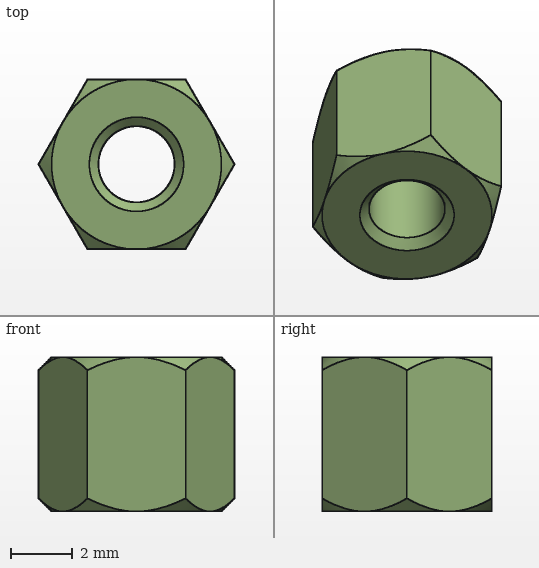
import cadquery as cq
import math

across_corners = 6.35
height = 5.0
bore_diameter = 2.46
countersink_diameter = 3.055
corner_chamfer_angle = 45.0

corner_radius = across_corners / 2
flat_radius = corner_radius * math.cos(math.radians(30))
chamfer_height = (corner_radius - flat_radius) * math.tan(math.radians(corner_chamfer_angle))
countersink_depth = (countersink_diameter - bore_diameter) / 2


def hexagonal_prism():
    """Hexagon standing on Z = 0, with two corners on the X axis."""
    return cq.Workplane("XY").polygon(6, across_corners).extrude(height)


def chamfer_envelope():
    """Turned body whose conical ends meet the end faces at the flats' inscribed circle."""
    profile = [
        (0, 0),
        (flat_radius, 0),
        (corner_radius, chamfer_height),
        (corner_radius, height - chamfer_height),
        (flat_radius, height),
        (0, height),
    ]
    return cq.Workplane("XZ").polyline(profile).close().revolve(360, (0, 0), (0, 1))


def countersunk_bore():
    """Through bore with a 45 degree countersink at both ends."""
    bore_radius = bore_diameter / 2
    countersink_radius = countersink_diameter / 2
    profile = [
        (0, 0),
        (countersink_radius, 0),
        (bore_radius, countersink_depth),
        (bore_radius, height - countersink_depth),
        (countersink_radius, height),
        (0, height),
    ]
    return cq.Workplane("XZ").polyline(profile).close().revolve(360, (0, 0), (0, 1))


result = hexagonal_prism().intersect(chamfer_envelope()).cut(countersunk_bore())